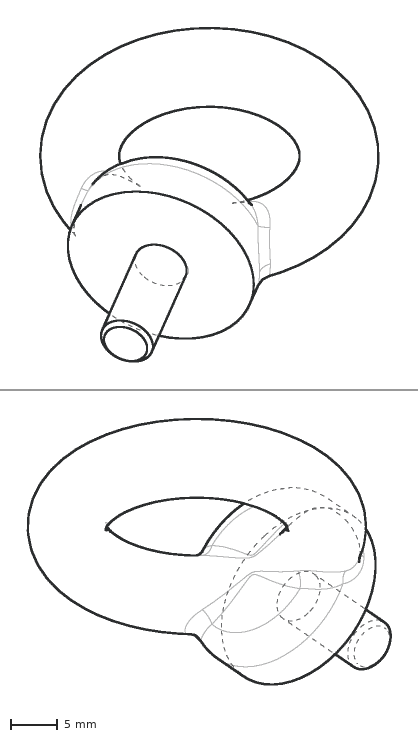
import cadquery as cq
import math

overall_length = 49.25
ring_outer_diameter = 36.5
bar_diameter = 8.5
collar_diameter = 21.0
collar_height = 8.22
collar_slope_degrees = 5.0
collar_edge_radius = 2.95
shank_diameter = 5.85
shank_length = 13.0
tip_chamfer = 0.5
blend_radius = 1.95

ring_outer_radius = ring_outer_diameter / 2
bar_radius = bar_diameter / 2
ring_centreline_radius = ring_outer_radius - bar_radius
collar_base_y = ring_outer_radius - overall_length + shank_length


def make_ring():
    """Round bar bent into a full circle about the Z axis."""
    return cq.Workplane("XY").add(cq.Solid.makeTorus(ring_centreline_radius, bar_radius))


def make_collar():
    """Round collar with a shallow conical top and a rounded rim."""
    collar_radius = collar_diameter / 2
    rim_height = collar_height - collar_radius * math.tan(math.radians(collar_slope_degrees))
    collar = (
        cq.Workplane("XY", origin=(0, collar_base_y, 0))
        .lineTo(collar_radius, 0)
        .lineTo(collar_radius, rim_height)
        .lineTo(0, collar_height)
        .close()
        .revolve(360, (0, 0, 0), (0, 1, 0))
    )
    rim = collar.edges("%CIRCLE").edges(">Y")
    return rim.fillet(collar_edge_radius)


def make_shank():
    """Plain shank with a chamfered tip."""
    shank = (
        cq.Workplane("XZ", origin=(0, collar_base_y, 0))
        .circle(shank_diameter / 2)
        .extrude(shank_length)
    )
    return shank.faces("<Y").edges().chamfer(tip_chamfer)


def blend_ring_into_collar(body):
    """Fillet the seams where the ring's bar enters the collar."""
    seams = [
        edge
        for edge in body.edges().vals()
        if edge.geomType() not in ("LINE", "CIRCLE")
    ]
    return body.newObject(seams).fillet(blend_radius)


eye_and_collar = blend_ring_into_collar(make_ring().union(make_collar()))
result = eye_and_collar.union(make_shank())